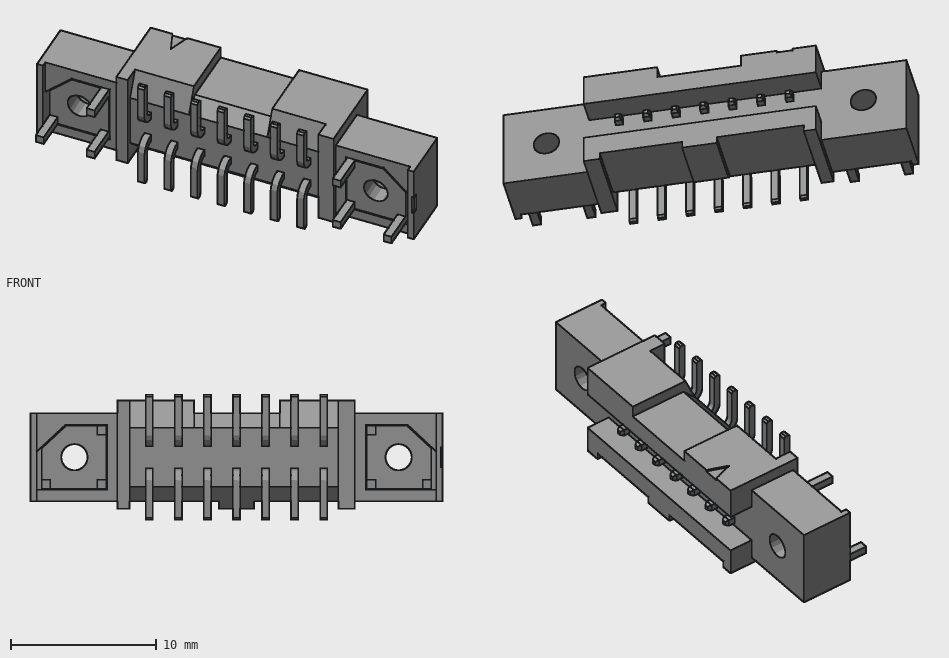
import cadquery as cq
import math

length = 28.38
half_length = length / 2
rear_y = 5.4

flange_left_x = -8.2
flange_left_inner_x = -7.35
flange_right_inner_x = 7.0
flange_right_x = 8.15
flange_front_y = -0.4
shroud_top_z = 3.92
shroud_bottom_z = -3.55
body_half_height = 3.05
front_face_half_height = 2.01
saddle_left_x = -2.92
saddle_right_x = 2.98
key_half_width = 1.22
side_bevel_depth = 0.85
saddle_bevel_depth = 1.02

slot_floor_y = 3.58
slot_bottom_z = -1.48
slot_top_z = 1.53

mark_width = 1.14
mark_length = 1.53
mark_depth = 0.15

tab_rear_y = slot_floor_y
rib_width = 0.45
screw_x = 11.15
screw_diameter = 1.8
rib_notch_depth = 0.15
rib_notch_height = 1.35

plate_inner_x = 8.97
plate_outer_x = 13.4
plate_half_height = 2.15
plate_chamfer_x = 1.65
plate_chamfer_z = 1.53
plate_thickness = 1.42
leg_width = 0.6
leg_tip_y = -2.38
clearance = 0.09

contact_count = 7
contact_row_length = 12.0
contact_pitch = contact_row_length / (contact_count - 1)
contact_row_z = contact_pitch / 2
contact_width = 0.5
contact_tail_z = 4.3
contact_tail_front_y = -1.2
bend_outer_radius = 1.05
bend_inner_radius = bend_outer_radius - contact_width
tail_chamfer = 0.15
contact_tip_y = 4.3
contact_tip_length = 0.25
contact_tip_inset = 0.1


def box(x_min, x_max, y_min, y_max, z_min, z_max):
    """Axis-aligned block between the given limits."""
    size = (x_max - x_min, y_max - y_min, z_max - z_min)
    return cq.Workplane("XY").box(*size, centered=False).translate((x_min, y_min, z_min))


def x_prism(profile, x_min, x_max):
    """Closed (y, z) profile extruded along X."""
    return cq.Workplane("YZ", origin=(x_min, 0, 0)).polyline(profile).close().extrude(x_max - x_min)


def y_prism(profile, y_min, y_max):
    """Closed (x, z) profile extruded along +Y."""
    return cq.Workplane("XZ", origin=(0, y_min, 0)).polyline(profile).close().extrude(y_min - y_max)


def block_segment(x_min, x_max, top_z, top_bevel, bottom_z):
    """Stretch of the central block, bevelled towards its front face."""
    bevel_slope = saddle_bevel_depth / (body_half_height - front_face_half_height)
    bottom_bevel = (-front_face_half_height - bottom_z) * bevel_slope
    profile = [
        (0, -front_face_half_height),
        (0, front_face_half_height),
        (top_bevel, top_z),
        (rear_y, top_z),
        (rear_y, bottom_z),
        (bottom_bevel, bottom_z),
    ]
    return x_prism(profile, x_min, x_max)


def make_flange(x_min, x_max):
    """Full-height end wall of the shroud, standing proud of its front face."""
    return box(x_min, x_max, flange_front_y, rear_y, shroud_bottom_z, shroud_top_z)


def make_shroud():
    """Flanges and bevelled block, with the mating slot and the contact 1 mark."""
    shroud = make_flange(flange_left_x, flange_left_inner_x)
    shroud = shroud.union(make_flange(flange_right_inner_x, flange_right_x))
    segments = [
        (flange_left_inner_x, saddle_left_x, shroud_top_z, side_bevel_depth, -body_half_height),
        (saddle_left_x, saddle_right_x, body_half_height, saddle_bevel_depth, -body_half_height),
        (saddle_right_x, flange_right_inner_x, shroud_top_z, side_bevel_depth, -body_half_height),
        (-key_half_width, key_half_width, body_half_height, saddle_bevel_depth, shroud_bottom_z),
    ]
    for segment in segments:
        shroud = shroud.union(block_segment(*segment))
    slot = box(flange_left_x, flange_right_x, slot_floor_y, rear_y, slot_bottom_z, slot_top_z)
    return shroud.cut(slot).cut(make_mark())


def make_mark():
    """Triangular prism sunk into the top face above the first contact."""
    first_contact_x = -contact_row_length / 2
    triangle = [
        (first_contact_x - mark_width / 2, rear_y),
        (first_contact_x + mark_width / 2, rear_y),
        (first_contact_x, rear_y - mark_length),
    ]
    floor = cq.Workplane("XY", origin=(0, 0, shroud_top_z - mark_depth))
    return floor.polyline(triangle).close().extrude(mark_depth)


def screw_hole(side):
    """Hole through the tab and its hold-down plate."""
    hole = cq.Workplane("XZ").center(side * screw_x, 0).circle(screw_diameter / 2)
    return hole.extrude(-tab_rear_y)


def plate_recess(side):
    """Pocket for the hold-down plate, running out to the end rib."""
    inner_x = plate_inner_x - clearance
    outer_x = half_length - rib_width
    half_height = plate_half_height + clearance
    slope = plate_chamfer_z / plate_chamfer_x
    chamfer_start_x = plate_outer_x - plate_chamfer_x
    chamfer_end_z = half_height - (outer_x - chamfer_start_x) * slope
    profile = [
        (side * inner_x, -half_height),
        (side * outer_x, -half_height),
        (side * outer_x, chamfer_end_z),
        (side * chamfer_start_x, half_height),
        (side * inner_x, half_height),
    ]
    return y_prism(profile, 0, plate_thickness)


def make_tab(side, flange_x):
    """Mounting tab on one side (-1 or +1), starting at the flange."""
    near_x, far_x = sorted((flange_x, side * half_length))
    tab = box(near_x, far_x, 0, tab_rear_y, -body_half_height, body_half_height)
    near_x, far_x = sorted((side * (half_length - rib_width), side * half_length))
    rib = box(near_x, far_x, flange_front_y, 0, -body_half_height, body_half_height)
    return tab.union(rib).cut(plate_recess(side)).cut(screw_hole(side))


def make_rib_notch():
    """Shallow notch in the outer face of the right-hand rib."""
    half_height = rib_notch_height / 2
    return box(half_length - rib_notch_depth, half_length, flange_front_y, 0, -half_height, half_height)


def make_contact(x, row):
    """Square contact with a bent tail; row is +1 (upper) or -1 (lower)."""
    half_width = contact_width / 2
    bend_start_y = contact_tail_front_y + bend_outer_radius
    bend_end_z = contact_row_z - half_width + bend_outer_radius
    diagonal = math.sqrt(0.5)
    centre = (bend_start_y, bend_end_z)

    def bend_middle(radius):
        return (centre[0] - radius * diagonal, centre[1] - radius * diagonal)

    tail_rear_y = contact_tail_front_y + contact_width
    tip_base_y = contact_tip_y - contact_tip_length
    contact = (
        cq.Workplane("YZ", origin=(-half_width, 0, 0))
        .moveTo(tip_base_y, contact_row_z - half_width)
        .lineTo(bend_start_y, contact_row_z - half_width)
        .threePointArc(bend_middle(bend_outer_radius), (contact_tail_front_y, bend_end_z))
        .lineTo(contact_tail_front_y, contact_tail_z - tail_chamfer)
        .lineTo(contact_tail_front_y + tail_chamfer, contact_tail_z)
        .lineTo(tail_rear_y - tail_chamfer, contact_tail_z)
        .lineTo(tail_rear_y, contact_tail_z - tail_chamfer)
        .lineTo(tail_rear_y, bend_end_z)
        .threePointArc(bend_middle(bend_inner_radius), (bend_start_y, contact_row_z + half_width))
        .lineTo(tip_base_y, contact_row_z + half_width)
        .close()
        .extrude(contact_width)
    )
    tip_width = contact_width - 2 * contact_tip_inset
    tip = (
        cq.Workplane("XZ", origin=(0, tip_base_y, contact_row_z))
        .rect(contact_width, contact_width)
        .workplane(offset=-contact_tip_length)
        .rect(tip_width, tip_width)
        .loft()
    )
    contact = contact.union(tip)
    if row < 0:
        contact = contact.mirror("XY")
    return contact.translate((x, 0, 0))


def make_housing():
    """Shroud and tabs with the contacts moulded in as one solid."""
    housing = make_shroud()
    housing = housing.union(make_tab(-1, flange_left_x)).union(make_tab(1, flange_right_x))
    housing = housing.cut(make_rib_notch())
    for i in range(contact_count):
        x = i * contact_pitch - contact_row_length / 2
        for row in (-1, 1):
            housing = housing.union(make_contact(x, row))
    return housing


def make_hold_down(side):
    """Plate seated in the recess of one tab, with three legs pointing to -Y."""
    plate_profile = [
        (side * plate_inner_x, -plate_half_height),
        (side * plate_outer_x, -plate_half_height),
        (side * plate_outer_x, plate_half_height - plate_chamfer_z),
        (side * (plate_outer_x - plate_chamfer_x), plate_half_height),
        (side * plate_inner_x, plate_half_height),
    ]
    hold_down = y_prism(plate_profile, 0, plate_thickness).cut(screw_hole(side))
    inner_leg_x = side * (plate_inner_x + leg_width / 2)
    outer_leg_x = side * (plate_outer_x - leg_width / 2)
    leg_z = plate_half_height - leg_width / 2
    half = leg_width / 2
    for x, z in [(inner_leg_x, leg_z), (inner_leg_x, -leg_z), (outer_leg_x, -leg_z)]:
        leg = box(x - half, x + half, leg_tip_y, plate_thickness, z - half, z + half)
        hold_down = hold_down.union(leg)
    return hold_down


housing = make_housing()
hold_downs = [make_hold_down(side) for side in (-1, 1)]

result = cq.Compound.makeCompound([housing.val(), *[hold_down.val() for hold_down in hold_downs]])